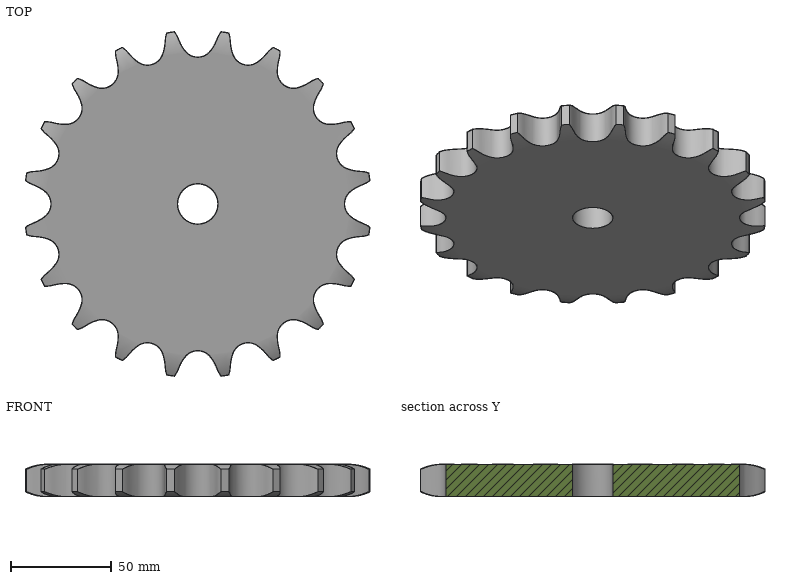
import cadquery as cq
import math

TEETH = 20
PITCH = 25.4
ROLLER_DIAMETER = 15.875
TIP_DIAMETER = 173.2
THICKNESS = 16.2
BORE_DIAMETER = 20.0
RELIEF_RADIUS = 26.0
RELIEF_DEPTH = 2.5
CUTTER_OVERRUN = 5.0
SEAT_CLEARANCE = 0.038

pitch_radius = PITCH / 2 / math.sin(math.pi / TEETH)
tip_radius = TIP_DIAMETER / 2

seat_radius = 0.5025 * ROLLER_DIAMETER + SEAT_CLEARANCE
working_offset = 0.8 * ROLLER_DIAMETER
working_radius = seat_radius + working_offset
topping_offset = 1.4 * ROLLER_DIAMETER
seat_angle = math.radians(35 + 60 / TEETH)
working_angle = math.radians(18 - 56 / TEETH)


def polar(center, radius, angle):
    """Point at a distance and direction from a center."""
    return (center[0] + radius * math.cos(angle), center[1] + radius * math.sin(angle))


def flank_points():
    """Points of the flank on the +X side of a gap that opens toward +Y."""
    roller = (0.0, pitch_radius)
    working_center = polar(roller, working_offset, math.pi - seat_angle)
    topping_center = polar(roller, topping_offset, -math.pi / TEETH)
    straight_normal = working_angle - seat_angle

    seat_end = polar(roller, seat_radius, -seat_angle)
    working_mid = polar(working_center, working_radius, working_angle / 2 - seat_angle)
    working_end = polar(working_center, working_radius, straight_normal)

    dx = topping_center[0] - working_end[0]
    dy = topping_center[1] - working_end[1]
    topping_radius = dx * math.cos(straight_normal) + dy * math.sin(straight_normal)
    topping_start = polar(topping_center, -topping_radius, straight_normal)

    center_distance = math.hypot(*topping_center)
    squares = center_distance**2 + topping_radius**2 - tip_radius**2
    corner_angle = math.acos(squares / (2 * center_distance * topping_radius))
    toward_axis = math.atan2(topping_center[1], topping_center[0]) + math.pi
    end_angle = toward_axis - corner_angle
    start_angle = straight_normal + math.pi
    topping_mid = polar(topping_center, topping_radius, (start_angle + end_angle) / 2)
    topping_end = polar(topping_center, topping_radius, end_angle)
    return seat_end, working_mid, working_end, topping_start, topping_mid, topping_end


def mirrored(point):
    """The same point on the -X side of the gap."""
    return (-point[0], point[1])


def tooth_gap():
    """Cutter for one gap, open beyond the tip circle."""
    seat_end, working_mid, working_end, topping_start, topping_mid, tip = flank_points()
    outer_y = tip_radius + CUTTER_OVERRUN
    return (
        cq.Workplane("XY")
        .moveTo(tip[0], outer_y)
        .lineTo(*tip)
        .threePointArc(topping_mid, topping_start)
        .lineTo(*working_end)
        .threePointArc(working_mid, seat_end)
        .threePointArc((0, pitch_radius - seat_radius), mirrored(seat_end))
        .threePointArc(mirrored(working_mid), mirrored(working_end))
        .lineTo(*mirrored(topping_start))
        .threePointArc(mirrored(topping_mid), mirrored(tip))
        .lineTo(-tip[0], outer_y)
        .close()
        .extrude(THICKNESS)
    )


def blank():
    """Bored disc whose rim is eased on both faces by an arc tangent to the face."""
    relief_width = math.sqrt(RELIEF_RADIUS**2 - (RELIEF_RADIUS - RELIEF_DEPTH) ** 2)
    face_radius = tip_radius - relief_width
    bore_radius = BORE_DIAMETER / 2
    half_angle = math.asin(relief_width / RELIEF_RADIUS) / 2
    mid_radius = face_radius + RELIEF_RADIUS * math.sin(half_angle)
    mid_depth = RELIEF_RADIUS * (1 - math.cos(half_angle))
    return (
        cq.Workplane("XZ")
        .moveTo(bore_radius, 0)
        .lineTo(face_radius, 0)
        .threePointArc((mid_radius, mid_depth), (tip_radius, RELIEF_DEPTH))
        .lineTo(tip_radius, THICKNESS - RELIEF_DEPTH)
        .threePointArc((mid_radius, THICKNESS - mid_depth), (face_radius, THICKNESS))
        .lineTo(bore_radius, THICKNESS)
        .close()
        .revolve(360, (0, 0, 0), (0, 1, 0))
    )


result = blank()
for index in range(TEETH):
    result = result.cut(tooth_gap().rotate((0, 0, 0), (0, 0, 1), index * 360 / TEETH))